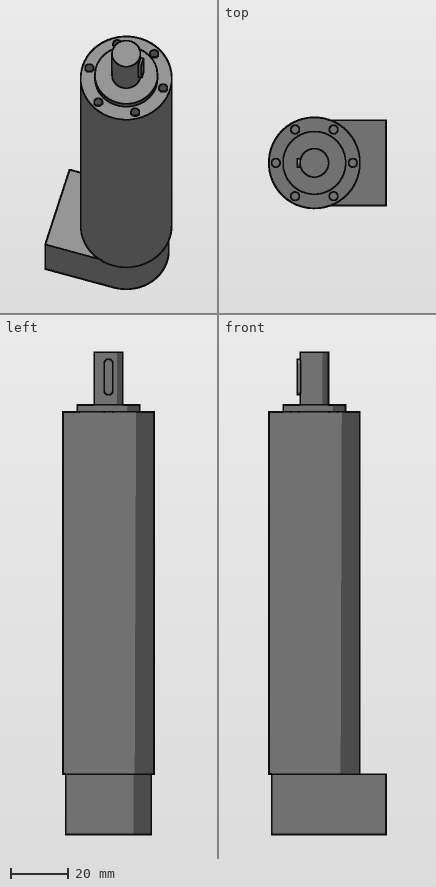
import cadquery as cq


cap_width = 30.0
cap_reach = 25.2
cap_height = 21.2

body_diameter = 32.0
body_length = 127.0
body_top = cap_height + body_length

collar_diameter = 22.0
collar_height = 2.5
collar_top = body_top + collar_height
shaft_diameter = 10.0
shaft_length = 18.5
shaft_top = collar_top + shaft_length

key_width = 3.0
key_length = 12.5
key_height = 3.0
key_outer_face = 6.0
key_end_gap = 2.5

hole_count = 6
hole_diameter = 3.0
hole_circle_diameter = 27.0
hole_depth = 6.0


def make_cylinder(diameter, bottom, height):
    return cq.Workplane("XY").workplane(offset=bottom).circle(diameter / 2).extrude(height)


def make_cap():
    half_width = cap_width / 2
    return (
        cq.Workplane("XY")
        .moveTo(0, half_width)
        .threePointArc((-half_width, 0), (0, -half_width))
        .lineTo(cap_reach, -half_width)
        .lineTo(cap_reach, half_width)
        .close()
        .extrude(cap_height)
    )


def make_key():
    key_center_z = shaft_top - key_end_gap - key_length / 2
    return (
        cq.Workplane("YZ", origin=(-key_outer_face, 0, key_center_z))
        .slot2D(key_length, key_width, 90)
        .extrude(key_height)
    )


def make_mounting_holes():
    return (
        cq.Workplane("XY")
        .workplane(offset=body_top)
        .polarArray(hole_circle_diameter / 2, 0, 360, hole_count)
        .circle(hole_diameter / 2)
        .extrude(-hole_depth)
    )


body = make_cylinder(body_diameter, cap_height, body_length)
collar = make_cylinder(collar_diameter, body_top, collar_height)
shaft = make_cylinder(shaft_diameter, collar_top, shaft_length)

result = (
    make_cap()
    .union(body)
    .union(collar)
    .union(shaft)
    .union(make_key())
    .cut(make_mounting_holes())
)